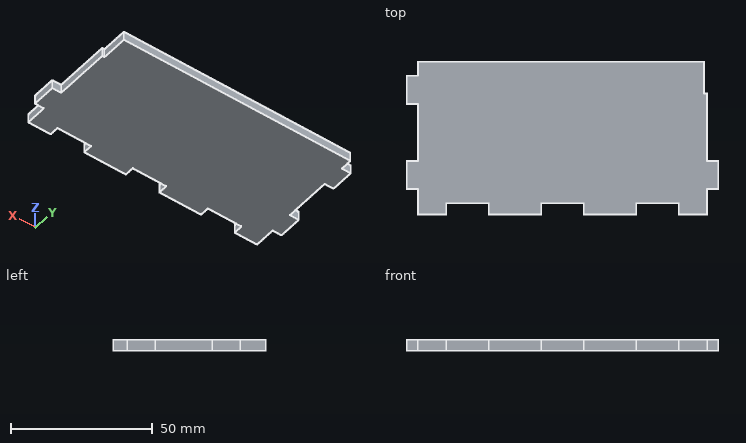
import cadquery as cq

length = 110.0
width = 54.0
thickness = 4.0

finger_depth = thickness
tab_width = 10.0
lower_tab_start = 9.0
upper_tab_start = 39.0
notch_width = 15.0
notch_pitch = 33.5
notch_count = 3

relief_depth = 1.0
relief_length = 11.2

panel_length = length - 2 * finger_depth
panel_left = finger_depth
panel_right = panel_left + panel_length


def block(x, y, size_x, size_y):
    """Full-thickness block with its lower left corner at (x, y)."""
    return cq.Workplane("XY").box(size_x, size_y, thickness, centered=False).translate((x, y, 0))


result = block(panel_left, 0, panel_length, width)

tab_length = 2 * finger_depth
for tab_start in (lower_tab_start, upper_tab_start):
    result = result.union(block(0, tab_start, tab_length, tab_width))
result = result.union(block(length - tab_length, lower_tab_start, tab_length, tab_width))

for index in range(notch_count):
    notch_center = length / 2 + (index - (notch_count - 1) / 2) * notch_pitch
    result = result.cut(block(notch_center - notch_width / 2, 0, notch_width, finger_depth))

result = result.cut(
    block(panel_right - relief_depth, width - relief_length, relief_depth, relief_length)
)